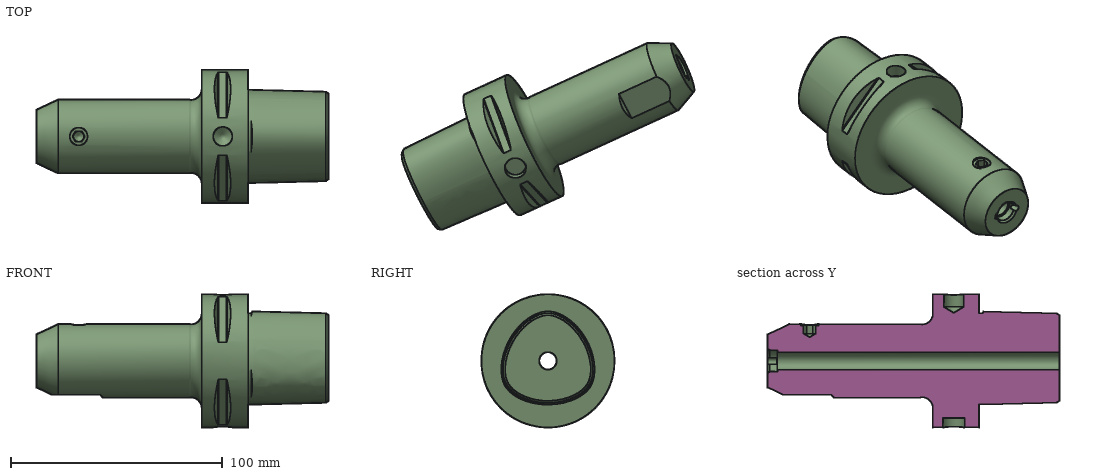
import cadquery as cq
import math

TOTAL_LENGTH = 138.0

NOSE_DIAMETER = 25.2
SHANK_DIAMETER = 35.0
NOSE_CONE_LENGTH = 10.4
SHANK_END = 72.1
NECK_START = 73.0
NECK_DIAMETER = 34.6
FLAT_HEIGHT = 16.1
FLAT_END = 30.2

FLANGE_START = 78.0
FLANGE_END = 100.0
FLANGE_DIAMETER = 63.0
ROOT_RADIUS = FLANGE_START - NECK_START

SLOT_CENTER = 87.9
RIM_HOLE_X = 88.0
SLOT_FLOOR_WIDTH = 3.7
SLOT_CORNER_WIDTH = 4.3
SLOT_CORNER_HEIGHT = 0.3
SLOT_MOUTH_WIDTH = 7.7
SLOT_FLOOR_DISTANCE = 27.6
SLOT_COUNT = 4
RIM_HOLE_DIAMETER = 9.0
RIM_HOLE_DEPTH = 6.0
CHIP_HOLE_DIAMETER = 10.0
CHIP_HOLE_DEPTH = 4.5
DRILL_POINT_ANGLE = 118.0

POLYGON_MEAN_RADIUS = 22.05
POLYGON_LOBE_HEIGHT = 1.35
POLYGON_LOBES = 3
TAPER_PER_LENGTH = 1 / 40
TAPER_START = 102.0
TAPER_BAND_END = 103.0
END_CHAMFER_LENGTH = 1.4
END_CHAMFER_DEPTH = 1.0
RELIEF_DIAMETER = 45.0
RELIEF_LENGTH = 1.4
SPLINE_STEPS = 24

THROUGH_DIAMETER = 8.1
BORE_DIAMETER = 10.0
BORE_DEPTH = 4.8
MOUTH_DIAMETER = 11.4
MOUTH_LENGTH = 1.2
CROSS_SLOT_SPAN = 13.8
CROSS_SLOT_WIDTH = 3.0
CROSS_SLOT_DEPTH = 4.4

SCREW_X = 20.0
SCREW_DIAMETER = 8.38
SCREW_TOP_HEIGHT = 16.8
SOCKET_ACROSS_FLATS = 5.0
SOCKET_SIDES = 6
SOCKET_DEPTH = 4.0


def drill_point_length(diameter):
    """Length of the conical tip left by a drill."""
    return diameter / 2 / math.tan(math.radians(DRILL_POINT_ANGLE / 2))


def make_turned_body():
    """Shank, root fillet and flange, turned about X."""
    arc_offset = ROOT_RADIUS * math.sin(math.pi / 4)
    neck_radius = NECK_DIAMETER / 2
    arc_middle = (NECK_START + arc_offset, neck_radius + ROOT_RADIUS - arc_offset)
    profile = (
        cq.Workplane("XY")
        .moveTo(0, 0)
        .lineTo(0, NOSE_DIAMETER / 2)
        .lineTo(NOSE_CONE_LENGTH, SHANK_DIAMETER / 2)
        .lineTo(SHANK_END, SHANK_DIAMETER / 2)
        .lineTo(NECK_START, neck_radius)
        .threePointArc(arc_middle, (FLANGE_START, neck_radius + ROOT_RADIUS))
        .lineTo(FLANGE_START, FLANGE_DIAMETER / 2)
        .lineTo(FLANGE_END, FLANGE_DIAMETER / 2)
        .lineTo(FLANGE_END, 0)
        .close()
    )
    return profile.revolve(360, (0, 0, 0), (1, 0, 0))


def make_shank_flat():
    """Cutter for the flat under the shank, with a 45 degree run-out."""
    depth = SHANK_DIAMETER / 2 - FLAT_HEIGHT
    return (
        cq.Workplane("XZ")
        .polyline([
            (0, -FLAT_HEIGHT),
            (FLAT_END, -FLAT_HEIGHT),
            (FLAT_END + depth, -SHANK_DIAMETER / 2),
            (0, -SHANK_DIAMETER / 2),
        ])
        .close()
        .extrude(SHANK_DIAMETER / 2, both=True)
    )


def polygon_point(x, mean_radius, angle):
    """Point of the polygon whose outward normal makes the given angle with +Y."""
    phase = POLYGON_LOBES * (angle - math.pi / 2)
    support = mean_radius + POLYGON_LOBE_HEIGHT * math.cos(phase)
    slope = -POLYGON_LOBES * POLYGON_LOBE_HEIGHT * math.sin(phase)
    y = support * math.cos(angle) - slope * math.sin(angle)
    z = support * math.sin(angle) + slope * math.cos(angle)
    return cq.Vector(x, y, z)


def polygon_wire(x, mean_radius):
    """Closed three-lobed outline, one curve per lobe, joined mid-flank."""
    lobe_angle = 2 * math.pi / POLYGON_LOBES
    edges = []
    for lobe in range(POLYGON_LOBES):
        start = -math.pi / 2 + lobe * lobe_angle
        angles = [start + lobe_angle * step / SPLINE_STEPS for step in range(SPLINE_STEPS + 1)]
        points = [polygon_point(x, mean_radius, angle) for angle in angles]
        tangents = [cq.Vector(0, -math.sin(a), math.cos(a)) for a in (angles[0], angles[-1])]
        edges.append(cq.Edge.makeSpline(points, tangents=tangents))
    return cq.Wire.assembleEdges(edges)


def make_coupling():
    """Polygon coupling: straight root, two tapered stretches and an end chamfer."""
    chamfer_start = TOTAL_LENGTH - END_CHAMFER_LENGTH
    chamfer_radius = POLYGON_MEAN_RADIUS - TAPER_PER_LENGTH * (chamfer_start - TAPER_START)
    band_radius = POLYGON_MEAN_RADIUS - TAPER_PER_LENGTH * (TAPER_BAND_END - TAPER_START)
    stations = [
        (FLANGE_END, POLYGON_MEAN_RADIUS),
        (TAPER_START, POLYGON_MEAN_RADIUS),
        (TAPER_BAND_END, band_radius),
        (chamfer_start, chamfer_radius),
        (TOTAL_LENGTH, chamfer_radius - END_CHAMFER_DEPTH),
    ]
    wires = [polygon_wire(x, radius) for x, radius in stations]
    return cq.Workplane(cq.Solid.makeLoft(wires, True))


def make_lobe_relief():
    """Ring cutter that turns the lobe tips down next to the flange."""
    radius = RELIEF_DIAMETER / 2
    outer = FLANGE_DIAMETER / 2
    return (
        cq.Workplane("XY")
        .moveTo(FLANGE_END, radius)
        .lineTo(FLANGE_END + RELIEF_LENGTH, radius)
        .lineTo(TAPER_START, POLYGON_MEAN_RADIUS + POLYGON_LOBE_HEIGHT)
        .lineTo(TAPER_START, outer)
        .lineTo(FLANGE_END, outer)
        .close()
        .revolve(360, (0, 0, 0), (1, 0, 0))
    )


def make_gripper_slot(angle):
    """Flared straight slot across the flange rim, at an angle about X from +Z."""
    mouth = FLANGE_DIAMETER / 2
    corner = SLOT_FLOOR_DISTANCE + SLOT_CORNER_HEIGHT
    half_profile = [
        (SLOT_FLOOR_WIDTH / 2, SLOT_FLOOR_DISTANCE),
        (SLOT_CORNER_WIDTH / 2, corner),
        (SLOT_MOUTH_WIDTH / 2, mouth),
    ]
    right_side = [(SLOT_CENTER + offset, height) for offset, height in half_profile]
    left_side = [(SLOT_CENTER - offset, height) for offset, height in reversed(half_profile)]
    return (
        cq.Workplane("XZ")
        .polyline(right_side + left_side)
        .close()
        .extrude(mouth, both=True)
        .rotate((0, 0, 0), (1, 0, 0), angle)
    )


def make_drill_point(diameter, x, height):
    """Downward cone with its base at the given height above the axis."""
    length = drill_point_length(diameter)
    cone = cq.Solid.makeCone(diameter / 2, 0, length, cq.Vector(x, 0, height), cq.Vector(0, 0, -1))
    return cq.Workplane(cone)


def make_rim_hole():
    """Blind drilled hole in the +Z side of the flange."""
    floor = FLANGE_DIAMETER / 2 - RIM_HOLE_DEPTH
    hole = (
        cq.Workplane("XY", origin=(RIM_HOLE_X, 0, floor))
        .circle(RIM_HOLE_DIAMETER / 2)
        .extrude(RIM_HOLE_DEPTH)
    )
    return hole.union(make_drill_point(RIM_HOLE_DIAMETER, RIM_HOLE_X, floor))


def make_chip_hole():
    """Flat-bottomed data chip hole in the -Z side of the flange."""
    return (
        cq.Workplane("XY", origin=(RIM_HOLE_X, 0, -FLANGE_DIAMETER / 2))
        .circle(CHIP_HOLE_DIAMETER / 2)
        .extrude(CHIP_HOLE_DEPTH)
    )


def make_screw_recess():
    """Round recess over the clamping screw and the hexagon socket below it."""
    floor = SCREW_TOP_HEIGHT - SOCKET_DEPTH
    across_corners = SOCKET_ACROSS_FLATS / math.cos(math.pi / SOCKET_SIDES)
    recess = (
        cq.Workplane("XY", origin=(SCREW_X, 0, SCREW_TOP_HEIGHT))
        .circle(SCREW_DIAMETER / 2)
        .extrude(SHANK_DIAMETER / 2 - SCREW_TOP_HEIGHT)
    )
    socket = (
        cq.Workplane("XY", origin=(SCREW_X, 0, floor))
        .polygon(SOCKET_SIDES, across_corners)
        .extrude(SOCKET_DEPTH)
    )
    return recess.union(socket).union(make_drill_point(SOCKET_ACROSS_FLATS, SCREW_X, floor))


def make_bore():
    """Stepped through bore, with a chamfered mouth and a cross slot at the nose."""
    bore = (
        cq.Workplane("XY")
        .moveTo(0, 0)
        .lineTo(0, MOUTH_DIAMETER / 2)
        .lineTo(MOUTH_LENGTH, BORE_DIAMETER / 2)
        .lineTo(BORE_DEPTH, BORE_DIAMETER / 2)
        .lineTo(BORE_DEPTH, THROUGH_DIAMETER / 2)
        .lineTo(TOTAL_LENGTH, THROUGH_DIAMETER / 2)
        .lineTo(TOTAL_LENGTH, 0)
        .close()
        .revolve(360, (0, 0, 0), (1, 0, 0))
    )
    cross_slot = cq.Workplane("YZ").slot2D(CROSS_SLOT_SPAN, CROSS_SLOT_WIDTH).extrude(CROSS_SLOT_DEPTH)
    return bore.union(cross_slot)


body = make_turned_body().cut(make_shank_flat())
coupling = make_coupling().cut(make_lobe_relief())
result = body.union(coupling)

for slot in range(SLOT_COUNT):
    slot_angle = 360 / SLOT_COUNT * (slot + 0.5)
    result = result.cut(make_gripper_slot(slot_angle))

for cutter in (make_rim_hole(), make_chip_hole(), make_screw_recess(), make_bore()):
    result = result.cut(cutter)